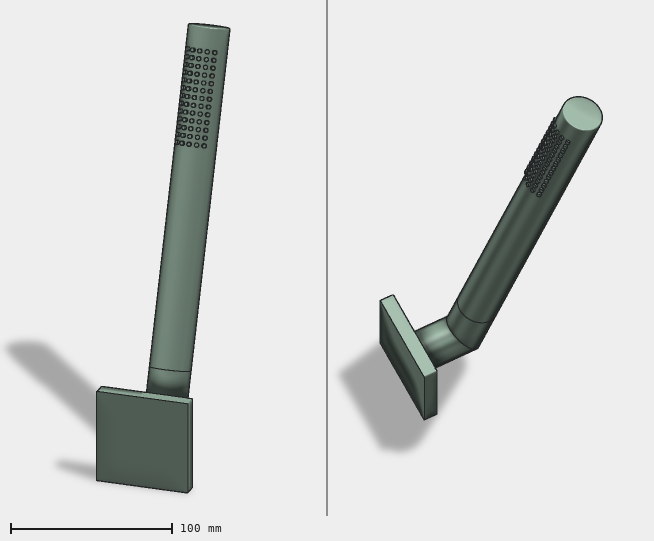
import cadquery as cq
import math

plate_side = 60.0
plate_thickness = 9.2
plate_edge_radius = 0.8

tube_diameter = 26.0
tube_radius = tube_diameter / 2

wall_arm_length = 33.0
inclined_arm_length = 30.0
tilt = math.radians(20)

handle_length = 214.1
handle_end_radius = 0.8

nozzle_radius = 1.3
nozzle_height = 1.3
nozzle_rows = 13
nozzle_columns = 5
nozzle_field_length = 58.3
nozzle_row_pitch = nozzle_field_length / (nozzle_rows - 1)
nozzle_column_angle = math.radians(20)
nozzle_end_margin = 15.0

x_direction = cq.Vector(1, 0, 0)
wall_direction = cq.Vector(0, 1, 0)
handle_direction = cq.Vector(0, math.sin(tilt), math.cos(tilt))
spray_direction = cq.Vector(0, -math.cos(tilt), math.sin(tilt))
miter_normal = (wall_direction + handle_direction).normalized()

wall_joint = cq.Vector(0, plate_thickness, plate_side / 2)
bend_point = wall_joint + wall_direction * wall_arm_length
handle_joint = bend_point + handle_direction * inclined_arm_length
handle_end = handle_joint + handle_direction * handle_length

miter_overrun = tube_diameter


def make_wall_plate():
    block = cq.Workplane("XY").box(plate_side, plate_thickness, plate_side, centered=(True, False, False))
    return block.edges("|Y or >Y").fillet(plate_edge_radius)


def make_tube(start, direction, length):
    plane = cq.Plane(start, xDir=x_direction, normal=direction)
    return cq.Workplane(plane).circle(tube_radius).extrude(length)


def make_space_past_miter():
    """A block filling the handle's side of the miter plane."""
    size = 4 * (tube_diameter + inclined_arm_length)
    plane = cq.Plane(bend_point, xDir=x_direction, normal=miter_normal)
    return cq.Workplane(plane).rect(size, size).extrude(size)


def make_wall_arm():
    tube = make_tube(wall_joint, wall_direction, wall_arm_length + miter_overrun)
    return tube.cut(make_space_past_miter())


def make_inclined_arm():
    start = bend_point - handle_direction * miter_overrun
    tube = make_tube(start, handle_direction, miter_overrun + inclined_arm_length)
    return tube.intersect(make_space_past_miter())


def make_nozzle(row, column):
    """One pin pointing straight out from the handle's axis, where it is rooted."""
    angle = nozzle_column_angle * (column - (nozzle_columns - 1) / 2)
    outward = spray_direction * math.cos(angle) + x_direction * math.sin(angle)
    root = handle_end - handle_direction * (nozzle_end_margin + row * nozzle_row_pitch)
    return cq.Solid.makeCylinder(nozzle_radius, tube_radius + nozzle_height, root, outward)


def make_handle():
    end_face = cq.selectors.DirectionMinMaxSelector(handle_direction)
    grip = make_tube(handle_joint, handle_direction, handle_length)
    grip = grip.faces(end_face).edges().fillet(handle_end_radius)
    nozzles = [
        make_nozzle(row, column)
        for row in range(nozzle_rows)
        for column in range(nozzle_columns)
    ]
    return cq.Workplane(grip.val().fuse(*nozzles))


wall_plate = make_wall_plate().solids()
wall_arm = make_wall_arm().solids()
inclined_arm = make_inclined_arm().solids()
handle = make_handle().solids()

result = cq.Compound.makeCompound([
    wall_plate.val(),
    wall_arm.val(),
    inclined_arm.val(),
    handle.val(),
])